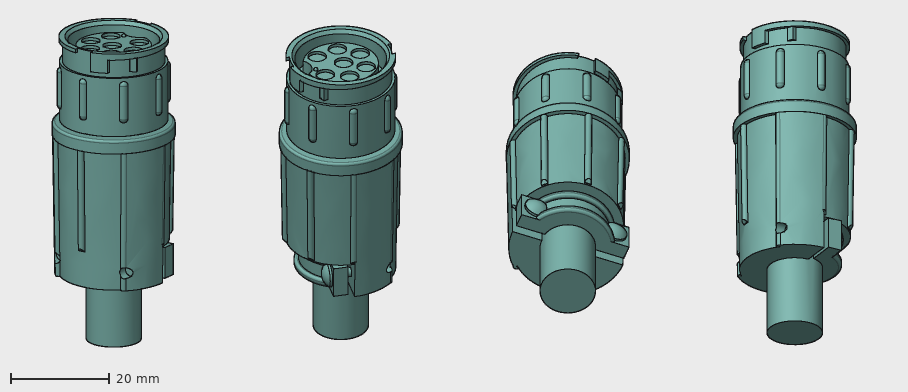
import cadquery as cq
import math

TOTAL_HEIGHT = 65.0
NECK_BOTTOM = 59.7
RING_BOTTOM = 47.2
COLLAR_TOP = 46.8
COLLAR_BOTTOM = 43.9
CLAMP_ROOF = 21.6
BODY_BOTTOM = 14.2

CABLE_RADIUS = 5.65
COLLAR_RADIUS = 12.55
COLLAR_ROUND = 0.5
GAP_RADIUS = 9.95
RING_RADIUS = 11.05
NECK_RADIUS = 10.45
BODY_TOP_RADIUS = 11.7
BODY_BOTTOM_RADIUS = 11.25
RIB_HEIGHT = 0.85

BODY_RIB_RADIUS = 0.7
BODY_RIB_BOTTOM = 21.95
BODY_RIB_CHAMFER = 0.6
SHORT_RIB_ANGLES = (-90, 0, 45, 90, 135, 180)
LONG_RIB_ANGLES = (-45, -135)
SHOULDER_HEIGHT = 0.8

GRIP_COUNT = 8
GRIP_RADIUS = 0.9
GRIP_AXIS_RADIUS = 10.8
GRIP_BOTTOM = 50.95
GRIP_TOP = 58.1

RIM_RADIUS = 11.2
RIM_THIN = 0.8
RIM_THICK = 1.35
RIM_GAP_HALF = 1.8
TAB_END = 5.2
TAB_BOTTOM = 60.8
STOP_TIP = (-9.55, 5.8)
STOP_BASE_START = (-9.2, 4.8)
STOP_BASE_END = (-8.4, 6.4)

BORE_RADIUS = 9.35
BORE_MOUTH_RADIUS = 9.95
BORE_MOUTH_DEPTH = 0.8
BORE_FLOOR = 59.1
INSERT_TOP = 63.15
INSERT_RADIUS = 7.65
KEYWAY_RADIUS = 3.25
CONTACT_RADIUS = 1.9
CONTACT_DEPTH = 0.65
CONTACT_CENTRES = [
    (-3.5, 4.1), (3.5, 4.1),
    (-5.25, -0.6), (0, -0.6), (5.25, -0.6),
    (-2.6, -4.7), (2.6, -4.7),
]
MARK_CENTRE = (-1.3, 5.5)
MARK_RADIUS = 0.45

SCREW_X = 8.5
SCREW_Z = 18.05
SCREW_RADIUS = 1.0
SCREW_HOLE_RADIUS = 1.2
SCREW_HOLE_FLOOR = 6.5
HEAD_RADIUS = 2.55
HEAD_RIM = 0.5
HEAD_HEIGHT = 1.7
CLAMP_HALF_LENGTH = 11.7
CLAMP_BACK = 1.3
CLAMP_FACE = 4.35
CLAMP_HALF_HEIGHT = 3.3
FLANGE_THICKNESS = 1.7
FLANGE_RADIUS = 9.55
FLANGE_ROUND = 0.65
WEB_RADIUS = 8.65


def cylinder(radius, bottom, top):
    return cq.Workplane("XY").workplane(offset=bottom).circle(radius).extrude(top - bottom)


def cone(bottom_radius, top_radius, bottom, top):
    profile = [(0, bottom), (bottom_radius, bottom), (top_radius, top), (0, top)]
    return cq.Workplane("XZ").polyline(profile).close().revolve(360, (0, 0), (0, 1))


def block(x_range, y_range, z_range):
    (x0, x1), (y0, y1), (z0, z1) = x_range, y_range, z_range
    return cq.Workplane("XY").box(x1 - x0, y1 - y0, z1 - z0, centered=False).translate((x0, y0, z0))


def cylinder_along_y(radius, x, z, start, end):
    plane = cq.Plane(origin=(x, start, z), xDir=(1, 0, 0), normal=(0, 1, 0))
    return cq.Workplane(plane).circle(radius).extrude(end - start)


def half_turn(shape):
    return shape.rotate((0, 0, 0), (0, 0, 1), 180)


def body_rib(angle, bottom):
    """Round-backed rib that leans with the body taper, bevelled at its lower end."""
    lean = math.atan2(BODY_TOP_RADIUS - BODY_BOTTOM_RADIUS, COLLAR_BOTTOM - BODY_BOTTOM)
    crest_offset = RIB_HEIGHT - BODY_RIB_RADIUS
    axis_start = cq.Vector(BODY_BOTTOM_RADIUS + crest_offset, 0, BODY_BOTTOM)
    plane = cq.Plane(origin=axis_start, xDir=(0, 1, 0), normal=(math.sin(lean), 0, math.cos(lean)))
    bar = cq.Workplane(plane).circle(BODY_RIB_RADIUS).extrude(COLLAR_TOP - BODY_BOTTOM)
    outer = COLLAR_RADIUS
    bevel_radius = BODY_BOTTOM_RADIUS + RIB_HEIGHT - BODY_RIB_CHAMFER
    profile = [
        (CABLE_RADIUS, bottom),
        (bevel_radius, bottom),
        (outer, bottom + outer - bevel_radius),
        (outer, COLLAR_BOTTOM),
        (CABLE_RADIUS, COLLAR_BOTTOM),
    ]
    trim = cq.Workplane("XZ").polyline(profile).close().extrude(BODY_RIB_RADIUS, both=True)
    return bar.intersect(trim).rotate((0, 0, 0), (0, 0, 1), angle)


def make_body():
    """Tapered shell, cut away behind the clamp, with shoulders on the front half."""
    body = cone(BODY_BOTTOM_RADIUS, BODY_TOP_RADIUS, BODY_BOTTOM, COLLAR_BOTTOM)
    shoulder = cone(
        BODY_BOTTOM_RADIUS + SHOULDER_HEIGHT, BODY_TOP_RADIUS + SHOULDER_HEIGHT, BODY_BOTTOM, COLLAR_BOTTOM
    )
    for angle in LONG_RIB_ANGLES:
        body = body.union(body_rib(angle, 0))
    for angle in SHORT_RIB_ANGLES:
        body = body.union(body_rib(angle, BODY_RIB_BOTTOM))
    for side in (-1, 1):
        outline = [(0, 0), (side * COLLAR_RADIUS, 0), (side * COLLAR_RADIUS, -COLLAR_RADIUS)]
        wedge = cq.Workplane("XY").polyline(outline).close().extrude(COLLAR_TOP)
        body = body.union(shoulder.intersect(wedge))
    body = body.intersect(cylinder(COLLAR_RADIUS, BODY_BOTTOM, COLLAR_BOTTOM))
    clamp_space = block((-COLLAR_RADIUS, COLLAR_RADIUS), (0, COLLAR_RADIUS), (BODY_BOTTOM, CLAMP_ROOF))
    body = body.cut(clamp_space)
    for x in (-SCREW_X, SCREW_X):
        body = body.cut(
            cylinder_along_y(SCREW_HOLE_RADIUS, x, SCREW_Z, -COLLAR_RADIUS, -SCREW_HOLE_FLOOR)
        )
    return body


def make_clamp():
    """Clamp bar with an arched channel strap over the cable, held by two screws."""
    bottom = SCREW_Z - CLAMP_HALF_HEIGHT
    top = SCREW_Z + CLAMP_HALF_HEIGHT
    clamp = block((-CLAMP_HALF_LENGTH, CLAMP_HALF_LENGTH), (CLAMP_BACK, CLAMP_FACE), (bottom, top))
    strap = cylinder(WEB_RADIUS, bottom, top)
    for flange_bottom in (bottom, top - FLANGE_THICKNESS):
        flange = cylinder(FLANGE_RADIUS, flange_bottom, flange_bottom + FLANGE_THICKNESS)
        strap = strap.union(flange.edges().fillet(FLANGE_ROUND))
    back_half = block(
        (-CLAMP_HALF_LENGTH, CLAMP_HALF_LENGTH), (CLAMP_BACK, FLANGE_RADIUS), (bottom, top)
    )
    clamp = clamp.union(strap.intersect(back_half))
    for x in (-SCREW_X, SCREW_X):
        shank = cylinder_along_y(SCREW_RADIUS, x, SCREW_Z, -SCREW_HOLE_FLOOR, CLAMP_FACE)
        clamp = clamp.union(shank).union(make_screw_head(x))
    return clamp


def make_screw_head(x):
    """Pan head with a shallow spherical dome."""
    dome_height = HEAD_HEIGHT - HEAD_RIM
    dome_radius = (HEAD_RADIUS**2 + dome_height**2) / (2 * dome_height)
    profile = (
        cq.Workplane("XY")
        .lineTo(HEAD_RADIUS, 0)
        .lineTo(HEAD_RADIUS, HEAD_RIM)
        .radiusArc((0, HEAD_HEIGHT), -dome_radius)
        .close()
    )
    head = profile.revolve(360, (0, 0), (0, 1))
    return head.translate((x, CLAMP_FACE, SCREW_Z))


def make_grip(angle):
    """Upright grip bar with ball ends, half sunk into the coupling ring."""
    grip = cylinder(GRIP_RADIUS, GRIP_BOTTOM, GRIP_TOP)
    for z in (GRIP_BOTTOM, GRIP_TOP):
        grip = grip.union(cq.Workplane("XY").sphere(GRIP_RADIUS).translate((0, 0, z)))
    return grip.translate((GRIP_AXIS_RADIUS, 0, 0)).rotate((0, 0, 0), (0, 0, 1), angle)


def make_rim_half():
    """One bayonet ramp on the -X side, with its tab and small stop."""
    ramp_outline = [
        (-RIM_RADIUS, TOTAL_HEIGHT),
        (-RIM_RADIUS, TOTAL_HEIGHT - RIM_THIN),
        (RIM_RADIUS, TOTAL_HEIGHT - RIM_THICK),
        (RIM_RADIUS, TOTAL_HEIGHT),
    ]
    ramp = cq.Workplane("YZ").workplane(offset=-RIM_RADIUS).polyline(ramp_outline).close()
    ramp = ramp.extrude(RIM_RADIUS - RIM_GAP_HALF)
    tab = block((-TAB_END, -RIM_GAP_HALF), (0, RIM_RADIUS), (TAB_BOTTOM, TOTAL_HEIGHT))
    rim = cylinder(RIM_RADIUS, TAB_BOTTOM, TOTAL_HEIGHT).intersect(ramp.union(tab))
    stop_outline = [(0, 0), STOP_BASE_START, STOP_TIP, STOP_BASE_END]
    stop = cq.Workplane("XY").workplane(offset=TAB_BOTTOM).polyline(stop_outline).close()
    return rim.union(stop.extrude(TOTAL_HEIGHT - RIM_THICK / 2 - TAB_BOTTOM))


def make_head():
    """Collar, coupling ring and bayonet neck."""
    head = cylinder(COLLAR_RADIUS, COLLAR_BOTTOM, COLLAR_TOP).faces(">Z").edges().fillet(COLLAR_ROUND)
    head = head.union(cylinder(GAP_RADIUS, COLLAR_BOTTOM, RING_BOTTOM))
    head = head.union(cylinder(RING_RADIUS, RING_BOTTOM, NECK_BOTTOM))
    head = head.union(cylinder(NECK_RADIUS, NECK_BOTTOM, TOTAL_HEIGHT))
    for index in range(GRIP_COUNT):
        head = head.union(make_grip(index * 360 / GRIP_COUNT))
    rim_half = make_rim_half()
    return head.union(rim_half).union(half_turn(rim_half))


def make_socket():
    """Volume of the bore with its flared mouth."""
    bore = cylinder(BORE_RADIUS, BORE_FLOOR, TOTAL_HEIGHT)
    mouth = cone(BORE_RADIUS, BORE_MOUTH_RADIUS, TOTAL_HEIGHT - BORE_MOUTH_DEPTH, TOTAL_HEIGHT)
    return bore.union(mouth)


def make_insert():
    """Contact carrier with keyway, seven shallow contact holes and a round mark."""
    insert = cylinder(INSERT_RADIUS, BORE_FLOOR, INSERT_TOP)
    insert = insert.cut(cylinder(KEYWAY_RADIUS, BORE_FLOOR, INSERT_TOP).translate((0, BORE_RADIUS, 0)))
    contacts = cq.Workplane("XY").workplane(offset=INSERT_TOP - CONTACT_DEPTH)
    contacts = contacts.pushPoints(CONTACT_CENTRES).circle(CONTACT_RADIUS).extrude(CONTACT_DEPTH)
    mark = cq.Workplane("XY").sphere(MARK_RADIUS).translate((*MARK_CENTRE, INSERT_TOP))
    return insert.cut(contacts).union(mark)


cable = cylinder(CABLE_RADIUS, 0, COLLAR_BOTTOM)
connector_head = make_head().cut(make_socket()).union(make_insert())
result = cable.union(make_body()).union(make_clamp()).union(connector_head)